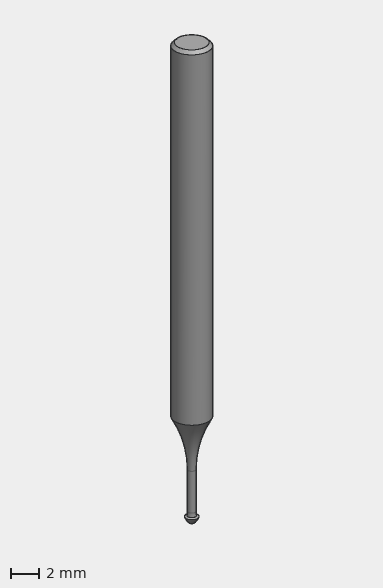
import cadquery as cq
import math

total_length = 38.0
shank_radius = 1.5
end_chamfer = 0.25

neck_radius = 0.323
neck_bottom = 0.9
flare_bottom = 4.2
flare_top = 8.45

tip_radius = 0.2
rim_radius = 0.55
rim_height = 0.5
shoulder_height = 0.57
shoulder_radius = 0.35
underside_arc_radius = 1.15


def blend_midpoint(start_height, end_radius, end_height):
    """Point halfway round a concave arc that leaves the neck tangentially."""
    rise = end_height - start_height
    spread = end_radius - neck_radius
    arc_radius = (rise**2 + spread**2) / (2 * spread)
    half_angle = math.asin(abs(rise) / arc_radius) / 2
    return (
        neck_radius + arc_radius * (1 - math.cos(half_angle)),
        start_height + math.copysign(arc_radius * math.sin(half_angle), rise),
    )


profile = (
    cq.Workplane("XZ")
    .lineTo(tip_radius, 0)
    .radiusArc((rim_radius, rim_height), -underside_arc_radius)
    .lineTo(shoulder_radius, shoulder_height)
    .threePointArc(
        blend_midpoint(neck_bottom, shoulder_radius, shoulder_height),
        (neck_radius, neck_bottom),
    )
    .lineTo(neck_radius, flare_bottom)
    .threePointArc(blend_midpoint(flare_bottom, shank_radius, flare_top), (shank_radius, flare_top))
    .lineTo(shank_radius, total_length - end_chamfer)
    .lineTo(shank_radius - end_chamfer, total_length)
    .lineTo(0, total_length)
    .close()
)

result = profile.revolve(360, (0, 0, 0), (0, 1, 0))